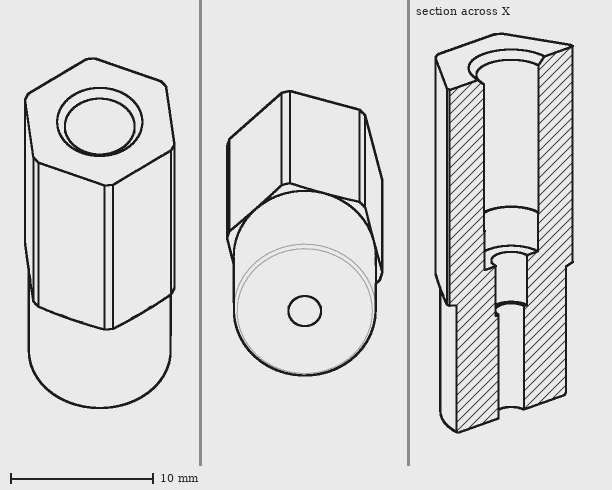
import cadquery as cq
import math

total_height = 27.0
across_flats = 10.0
corner_diameter = 11.2
shank_diameter = across_flats
shank_height = 10.0
shank_edge_radius = 0.25
head_chamfer_angle = 15.0

countersink_diameter = 6.0
entry_diameter = 4.91
entry_depth = 12.0
relief_diameter = 4.8
relief_depth = 15.0
step_diameter = 2.8
step_depth = 18.9
through_diameter = 2.3


def make_shank():
    shank = cq.Workplane("XY").circle(shank_diameter / 2).extrude(shank_height)
    return shank.faces("<Z").edges().fillet(shank_edge_radius)


def make_head():
    """Hexagon with flats facing +X and -X, trimmed by a turned envelope."""
    across_corners = across_flats / math.cos(math.radians(30))
    hexagon = (
        cq.Workplane("XY")
        .workplane(offset=shank_height)
        .polygon(6, across_corners)
        .extrude(total_height - shank_height)
        .rotate((0, 0, 0), (0, 0, 1), 30)
    )
    chamfer_width = (corner_diameter - shank_diameter) / 2
    chamfer_height = chamfer_width * math.tan(math.radians(head_chamfer_angle))
    envelope = (
        cq.Workplane("XZ")
        .moveTo(0, shank_height)
        .lineTo(shank_diameter / 2, shank_height)
        .lineTo(corner_diameter / 2, shank_height + chamfer_height)
        .lineTo(corner_diameter / 2, total_height)
        .lineTo(0, total_height)
        .close()
        .revolve(360, (0, 0, 0), (0, 1, 0))
    )
    return hexagon.intersect(envelope)


def make_bore():
    """Solid to remove: 45 degree countersink and coaxial flat-floored steps."""
    countersink_depth = (countersink_diameter - entry_diameter) / 2
    bore = (
        cq.Workplane("XY")
        .workplane(offset=total_height)
        .circle(countersink_diameter / 2)
        .workplane(offset=-countersink_depth)
        .circle(entry_diameter / 2)
        .loft(ruled=True)
    )
    steps = [
        (entry_diameter, entry_depth),
        (relief_diameter, relief_depth),
        (step_diameter, step_depth),
        (through_diameter, total_height),
    ]
    for diameter, depth in steps:
        cylinder = (
            cq.Workplane("XY")
            .workplane(offset=total_height - depth)
            .circle(diameter / 2)
            .extrude(depth)
        )
        bore = bore.union(cylinder)
    return bore


result = make_shank().union(make_head()).cut(make_bore())